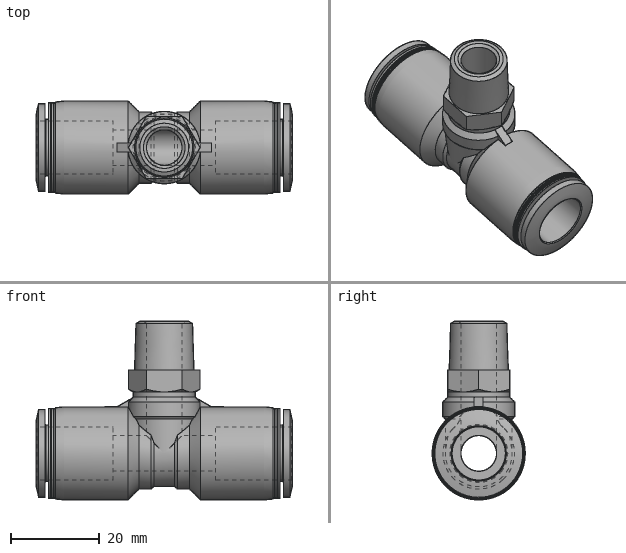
import cadquery as cq
import math

length = 57.9
half_length = length / 2
body_radius = 21.0 / 2
top_z = 40.3 - body_radius

waist_radius = 7.5
waist_half_width = 2.3
neck_radius = 8.05
neck_start = 3.0
shoulder_start = 5.7
shoulder_end = shoulder_start + body_radius - neck_radius
taper_start = 22.6
taper_end = 24.5
taper_radius = 10.3
cap_radius = 10.15
cap_end = 26.1
cap_grooves = (24.85, 25.4)
groove_width = 0.2
groove_depth = 0.25

sleeve_radius = 12.8 / 2
sleeve_flare_start = 26.65
sleeve_flare_radius = 6.55
flange_inner = 26.85
flange_outer = 28.3
flange_radius = 19.8 / 2
dome_mid = (28.7, 8.4)

passage_radius = 8.0 / 2
tube_radius = 12.0 / 2
tube_stop = 11.6
mouth_chamfer = 0.25

collar_radius = 8.15
collar_bottom_chamfer = collar_radius - waist_radius
collar_bottom = 8.35
collar_top = 11.5
journal_radius = 14.0 / 2
journal_start = collar_top + collar_radius - journal_radius
hex_bottom = 13.85
hex_top = 18.8
hex_across_flats = 14.0
hex_chamfer_height = 0.65
thread_root_radius = 6.7
thread_tip_radius = 12.8 / 2
tip_radius = 5.5
tip_chamfer_height = 0.5

countersink_radius = 4.7
countersink_depth = 0.5

rib_width = 2.0
rib_reach = 10.65
rib_top_x = 7.05
rib_top_z = 12.55
rib_floor_z = 9.25


def revolve_about_x(points):
    """Turn a closed (x, radius) outline about the run axis."""
    return cq.Workplane("XY").polyline(points).close().revolve(360, (0, 0, 0), (1, 0, 0))


def revolve_about_z(points):
    """Turn a closed (radius, z) outline about the branch axis."""
    return cq.Workplane("XZ").polyline(points).close().revolve(360, (0, 0, 0), (0, 1, 0))


def make_half_run():
    """Solid +X half of the run, from the waist out to the end cap."""
    body = revolve_about_x([
        (0, 0),
        (0, waist_radius),
        (waist_half_width, waist_radius),
        (neck_start, neck_radius),
        (shoulder_start, neck_radius),
        (shoulder_end, body_radius),
        (taper_start, body_radius),
        (taper_end, taper_radius),
        (taper_end, cap_radius),
        (cap_end, cap_radius),
        (cap_end, 0),
    ])
    for groove_start in cap_grooves:
        groove_end = groove_start + groove_width
        groove_floor = cap_radius - groove_depth
        body = body.cut(revolve_about_x([
            (groove_start, groove_floor),
            (groove_start, body_radius),
            (groove_end, body_radius),
            (groove_end, groove_floor),
        ]))
    return body


def make_release_collar():
    """Sleeve and domed flange at the +X end of the run."""
    return (
        cq.Workplane("XY")
        .moveTo(tube_stop, 0)
        .lineTo(tube_stop, sleeve_radius)
        .lineTo(sleeve_flare_start, sleeve_radius)
        .lineTo(flange_inner, sleeve_flare_radius)
        .lineTo(flange_inner, flange_radius)
        .lineTo(flange_outer, flange_radius)
        .threePointArc(dome_mid, (half_length, sleeve_radius))
        .lineTo(half_length, 0)
        .close()
        .revolve(360, (0, 0, 0), (1, 0, 0))
    )


def make_half_run_bore():
    """Through passage with a wider tube socket at the +X end."""
    return revolve_about_x([
        (0, 0),
        (0, passage_radius),
        (tube_stop, passage_radius),
        (tube_stop, tube_radius),
        (half_length - mouth_chamfer, tube_radius),
        (half_length, tube_radius + mouth_chamfer),
        (half_length, 0),
    ])


def make_stem():
    """Round part of the branch: lower stem, collar and journal under the hexagon."""
    return revolve_about_z([
        (0, 0),
        (waist_radius, 0),
        (waist_radius, collar_bottom - collar_bottom_chamfer),
        (collar_radius, collar_bottom),
        (collar_radius, collar_top),
        (journal_radius, journal_start),
        (journal_radius, hex_top),
        (0, hex_top),
    ])


def make_hexagon():
    """Hexagon with corners on the X axis, its lower corners chamfered by a cone."""
    across_corners = hex_across_flats / math.cos(math.radians(30))
    corner_radius = across_corners / 2
    prism = (
        cq.Workplane("XY")
        .workplane(offset=hex_bottom)
        .polygon(6, across_corners)
        .extrude(hex_top - hex_bottom)
    )
    envelope = revolve_about_z([
        (0, hex_bottom),
        (journal_radius, hex_bottom),
        (corner_radius, hex_bottom + hex_chamfer_height),
        (corner_radius, hex_top),
        (0, hex_top),
    ])
    return prism.intersect(envelope)


def make_thread():
    """Tapered threaded end, modelled smooth, with a chamfered tip."""
    return revolve_about_z([
        (0, hex_top),
        (thread_root_radius, hex_top),
        (thread_tip_radius, top_z - tip_chamfer_height),
        (tip_radius, top_z),
        (0, top_z),
    ])


def make_branch_bore():
    """Bore from the run passage up to a countersunk mouth."""
    return revolve_about_z([
        (0, 0),
        (passage_radius, 0),
        (passage_radius, top_z - countersink_depth),
        (countersink_radius, top_z),
        (0, top_z),
    ])


def make_ribs():
    """Sloping ribs that join the collar to both bodies."""
    outline = [
        (-rib_reach, body_radius),
        (-rib_top_x, rib_top_z),
        (rib_top_x, rib_top_z),
        (rib_reach, body_radius),
        (rib_reach, rib_floor_z),
        (-rib_reach, rib_floor_z),
    ]
    return cq.Workplane("XZ").polyline(outline).close().extrude(rib_width / 2, both=True)


def both_ends(half):
    """Join a +X half with its mirror image."""
    return half.union(half.mirror("YZ"))


run = both_ends(make_half_run().union(make_release_collar()))
branch = make_stem().union(make_hexagon()).union(make_thread())
tee = run.union(branch).union(make_ribs())
result = tee.cut(both_ends(make_half_run_bore())).cut(make_branch_bore())